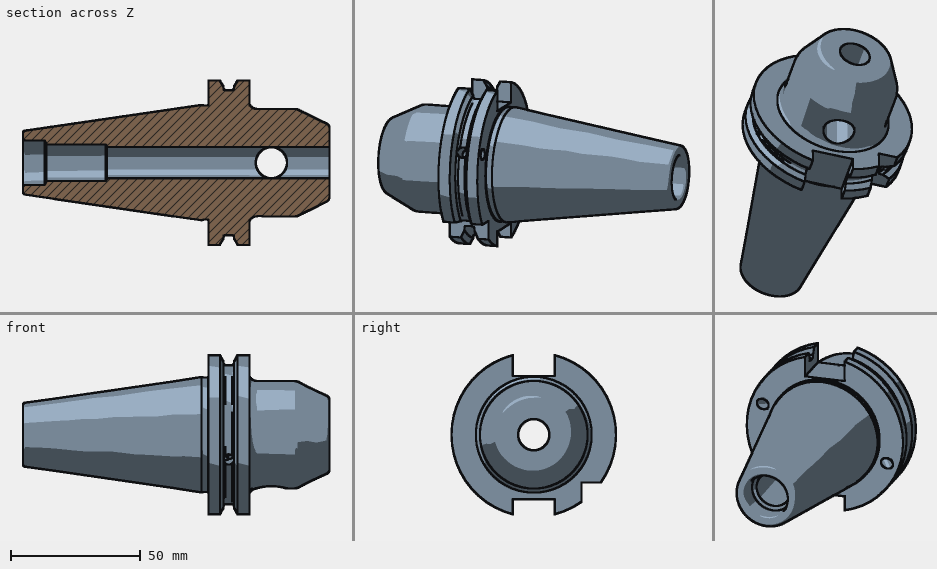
import cadquery as cq
import math


total_length = 118.4
gauge_x = 68.4
gauge_radius = 22.3
taper_slope = 7 / 48
taper_end_x = 68.9
rear_radius = gauge_radius - gauge_x * taper_slope
neck_radius = gauge_radius + (taper_end_x - gauge_x) * taper_slope
rear_fillet = 1.1

relief_radius = 44.3 / 2
relief_ramp = 0.7
relief_end_chamfer = 0.2

flange_x = 71.6
flange_width = 15.9
flange_radius = 63.6 / 2
flange_end_x = flange_x + flange_width
groove_x = 79.5
groove_top_width = 6.9
groove_step_width = 4.0
groove_step_radius = 29.4
groove_floor_radius = 28.1
groove_fillet = 0.7

nose_radius = 41.5 / 2
root_fillet_radius = 3.5
root_fillet_length = 3.0
nose_cone_x = 105.6
nose_cone_angle = math.radians(26)
nose_tip_radius = nose_radius - (total_length - nose_cone_x) * math.tan(nose_cone_angle)
shoulder_fillet = 2.5
tip_fillet = 2.0

bore_radius = 12.0 / 2
thread_radius = 14.0 / 2
thread_end_x = 32.0
rear_bore_radius = 17.0 / 2
rear_bore_end_x = 8.3
rear_mouth_fillet = 1.0
bore_step_angle = math.radians(30)

screw_diameter = 12.0
screw_x = total_length - 22.5

slot_width = 16.1
upper_slot_floor_z = 22.7
lower_slot_floor_z = -25.0
notch_y = 18.5
notch_z = -18.5

coolant_diameter = 4.1
coolant_angle = 20
coolant_inlet_radius = 26.9
coolant_inner_radius = 21.8


def make_body():
    """Revolve the outer profile, then round the rear and nose edges."""
    half_top = groove_top_width / 2
    half_step = groove_step_width / 2
    half_floor = half_step - groove_fillet
    fillet_top = groove_floor_radius + groove_fillet
    root_rise = root_fillet_radius - math.sqrt(root_fillet_radius**2 - root_fillet_length**2)
    profile = (
        cq.Workplane("XY")
        .lineTo(0, rear_radius)
        .lineTo(taper_end_x, neck_radius)
        .lineTo(taper_end_x + relief_ramp, relief_radius)
        .lineTo(flange_x - relief_end_chamfer, relief_radius)
        .lineTo(flange_x, neck_radius)
        .lineTo(flange_x, flange_radius)
        .lineTo(groove_x - half_top, flange_radius)
        .lineTo(groove_x - half_step, groove_step_radius)
        .lineTo(groove_x - half_step, fillet_top)
        .radiusArc((groove_x - half_floor, groove_floor_radius), -groove_fillet)
        .lineTo(groove_x + half_floor, groove_floor_radius)
        .radiusArc((groove_x + half_step, fillet_top), -groove_fillet)
        .lineTo(groove_x + half_step, groove_step_radius)
        .lineTo(groove_x + half_top, flange_radius)
        .lineTo(flange_end_x, flange_radius)
        .lineTo(flange_end_x, nose_radius + root_rise)
        .radiusArc((flange_end_x + root_fillet_length, nose_radius), -root_fillet_radius)
        .lineTo(nose_cone_x, nose_radius)
        .lineTo(total_length, nose_tip_radius)
        .lineTo(total_length, 0)
        .close()
    )
    body = profile.revolve(360, (0, 0, 0), (1, 0, 0))
    body = body.faces("<X").edges().fillet(rear_fillet)
    body = body.faces(">X").edges().fillet(tip_fillet)
    shoulder_band = cq.selectors.BoxSelector(
        (nose_cone_x - 0.1, -flange_radius, -flange_radius),
        (nose_cone_x + 0.1, flange_radius, flange_radius),
        boundingbox=True,
    )
    return body.edges(shoulder_band).fillet(shoulder_fillet)


def make_bore():
    """Through bore with a rounded rear mouth and two conical steps."""
    rear_step = (rear_bore_radius - thread_radius) * math.tan(bore_step_angle)
    thread_step = (thread_radius - bore_radius) * math.tan(bore_step_angle)
    return (
        cq.Workplane("XY")
        .lineTo(0, rear_bore_radius + rear_mouth_fillet)
        .radiusArc((rear_mouth_fillet, rear_bore_radius), -rear_mouth_fillet)
        .lineTo(rear_bore_end_x, rear_bore_radius)
        .lineTo(rear_bore_end_x + rear_step, thread_radius)
        .lineTo(thread_end_x, thread_radius)
        .lineTo(thread_end_x + thread_step, bore_radius)
        .lineTo(total_length, bore_radius)
        .lineTo(total_length, 0)
        .close()
        .revolve(360, (0, 0, 0), (1, 0, 0))
    )


def make_screw_hole():
    """Radial hole from the underside of the nose into the bore."""
    return (
        cq.Workplane("XY", origin=(screw_x, 0, 0))
        .circle(screw_diameter / 2)
        .extrude(-flange_radius)
    )


def make_flange_cut(y_min, y_max, z_min, z_max):
    """Rectangular cut across the full width of the flange."""
    return cq.Workplane("XY").box(
        flange_width, y_max - y_min, z_max - z_min, centered=False
    ).translate((flange_x, y_min, z_min))


def make_coolant_passage():
    """Radial hole from the groove meeting an oblique hole from the rear flange face."""
    radius = coolant_diameter / 2
    radial_hole = cq.Solid.makeCylinder(
        radius,
        flange_radius - coolant_inner_radius,
        cq.Vector(groove_x, coolant_inner_radius, 0),
        cq.Vector(0, 1, 0),
    )
    inlet = cq.Vector(flange_x, coolant_inlet_radius, 0)
    meeting_point = cq.Vector(groove_x, coolant_inner_radius, 0)
    run = meeting_point - inlet
    overshoot = run.normalized() * coolant_diameter
    oblique_hole = cq.Solid.makeCylinder(
        radius, run.Length + coolant_diameter, inlet - overshoot, run
    )
    return cq.Workplane("XY").add(radial_hole.fuse(oblique_hole))


result = make_body().cut(make_bore()).cut(make_screw_hole())

half_slot = slot_width / 2
result = result.cut(make_flange_cut(-half_slot, half_slot, upper_slot_floor_z, flange_radius))
result = result.cut(make_flange_cut(-half_slot, half_slot, -flange_radius, lower_slot_floor_z))
result = result.cut(make_flange_cut(notch_y, flange_radius, -flange_radius, notch_z))

coolant_passage = make_coolant_passage()
for angle in (coolant_angle, coolant_angle + 180):
    result = result.cut(coolant_passage.rotate((0, 0, 0), (1, 0, 0), angle))